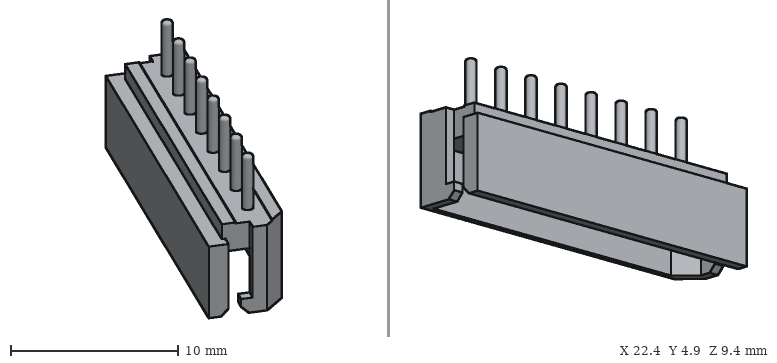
import cadquery as cq

length = 22.4
width = 4.9
body_height = 5.87
corner_chamfer = 1.28

front_wall = 1.23
front_wall_height = 4.85
foot_chamfer = 0.47

bridge_front = 1.0
bridge_underside = 3.99

end_wall = 0.7
end_wall_front = 2.73
back_wall = 0.4

lip_front = 2.02
lip_height = 1.0

groove_front = 1.88
groove_back = 4.05
groove_depth = 0.07

pin_count = 8
pin_row_length = 17.5
pin_diameter = 0.7
pin_y = 3.11
pin_top = 9.4
pin_tip_radius = 0.2

pin_pitch = pin_row_length / (pin_count - 1)
half_length = length / 2
inner_half_length = half_length - end_wall
groove_floor = body_height - groove_depth


def extrude_profile(points, x_start, x_end):
    """Extrude a closed (Y, Z) profile along X."""
    return (
        cq.Workplane("YZ", origin=(x_start, 0, 0))
        .polyline(points)
        .close()
        .extrude(x_end - x_start)
    )


def make_front_wall():
    profile = [
        (0, 0),
        (front_wall - foot_chamfer, 0),
        (front_wall, foot_chamfer),
        (front_wall, front_wall_height),
        (0, front_wall_height),
    ]
    return extrude_profile(profile, -half_length, half_length)


def make_bridge():
    profile = [
        (bridge_front, bridge_underside),
        (end_wall_front, bridge_underside),
        (end_wall_front, body_height),
        (bridge_front, body_height),
    ]
    return extrude_profile(profile, -inner_half_length, inner_half_length)


def make_back_body():
    """Full-length block with latch lips, one bevelled corner and a pocket open below."""
    profile = [
        (width, 0),
        (lip_front + foot_chamfer, 0),
        (lip_front, foot_chamfer),
        (lip_front, lip_height),
        (end_wall_front, lip_height),
        (end_wall_front, body_height),
        (width, body_height),
    ]
    block = extrude_profile(profile, -half_length, half_length)
    block = block.edges("|Z and >X and >Y").chamfer(corner_chamfer)

    pocket_back = width - back_wall
    pocket = (
        cq.Workplane("XY")
        .moveTo(-inner_half_length, 0)
        .lineTo(inner_half_length, 0)
        .lineTo(inner_half_length, pocket_back - corner_chamfer)
        .lineTo(inner_half_length - corner_chamfer, pocket_back)
        .lineTo(-inner_half_length, pocket_back)
        .close()
        .extrude(bridge_underside)
    )
    return block.cut(pocket)


def make_groove():
    profile = [
        (groove_front, groove_floor),
        (groove_back, groove_floor),
        (groove_back, body_height),
        (groove_front, body_height),
    ]
    return extrude_profile(profile, -half_length, half_length)


def make_pins():
    first_x = -pin_row_length / 2
    centres = [(first_x + i * pin_pitch, pin_y) for i in range(pin_count)]
    return (
        cq.Workplane("XY", origin=(0, 0, bridge_underside))
        .pushPoints(centres)
        .circle(pin_diameter / 2)
        .extrude(pin_top - bridge_underside)
        .faces(">Z")
        .edges()
        .fillet(pin_tip_radius)
    )


housing = make_front_wall().union(make_bridge()).union(make_back_body()).cut(make_groove())
result = housing.union(make_pins())